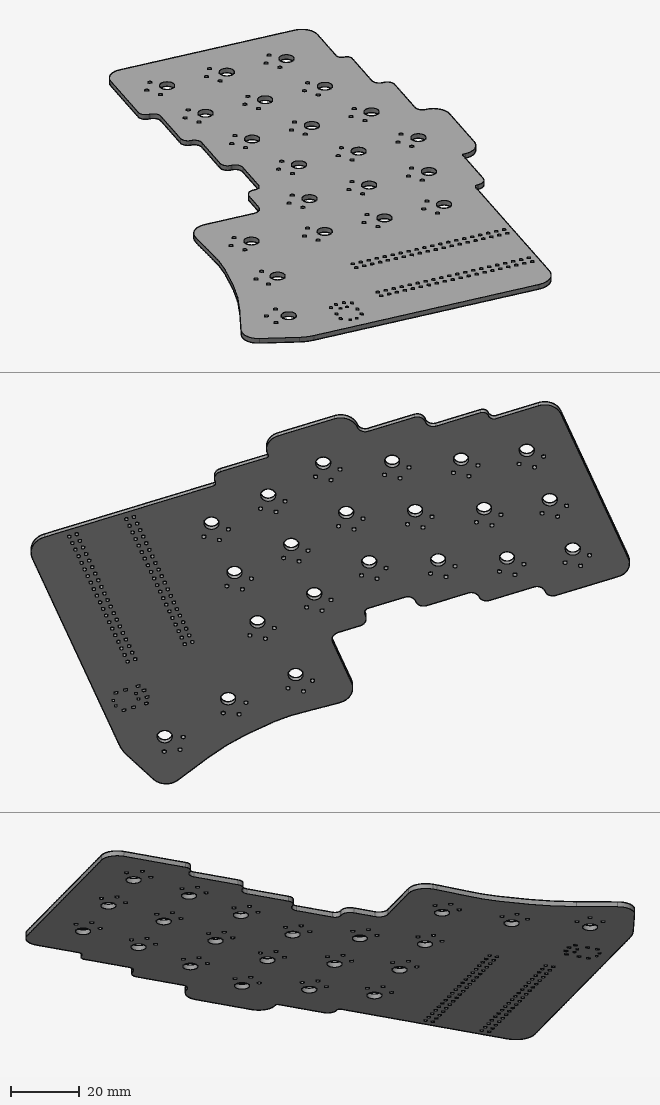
import math

import cadquery as cq

LENGTH = 162.56
WIDTH = 106.61
THICKNESS = 1.6

SWITCH_POST_D = 4.4
SWITCH_PIN_D = 1.2
HEADER_PIN_D = 1.02
JACK_HOLE_D = 0.8
JACK_SLOT_LENGTH = 1.2

KEY_PITCH = 19.05
KEY_ROWS = 3
FIRST_COLUMN_X = 13.95
COLUMN_BOTTOM_Y = (38.07, 41.8, 48.17, 54.6, 49.44, 45.77)
THUMB_KEYS = ((105.5, 24.02, 0), (126.97, 22.78, -9), (149.1, 16.43, -23))
SWITCH_PINS = ((-3.81, -3.81), (3.81, -3.81), (0, -6.5))

HEADER_PITCH = 2.54
HEADER_PINS = 20
HEADER_ROW_SPACING = 17.78
HEADER_FIRST_X = (129.55, 131.89)
HEADER_BOTTOM_Y = 45.65

JACK_AXIS_Y = 32.91
JACK_SLOTS = ((148.85, 1.29), (149.9, 3.35), (153.83, 3.35), (156.85, 3.35))
JACK_PEGS = ((151.46, 1.04), (158.52, 1.04))

LEFT_TOP = 90.1
LEFT_BOTTOM = 24.1
THUMB_LEFT = 91.3
THUMB_BOTTOM = 10.0
CORNER_R = 5.0
THUMB_R = 5.5
TOP_RIGHT_R = 6.0
CREST_R = 5.2
STEP_R = 2.4
SMALL_STEP_R = 1.75
WIDE_STEP_R = 2.8
NECK_R = 0.5
RIGHT_STEP_R = 1.0
SHOULDER_R = 12.0
TIP_R = 5.0

UPPER_STEPS_Y = (LEFT_TOP, 93.7, 98.9)
UPPER_RISERS_X = (20.0, 38.0, 57.2)
CREST_RIGHT = 85.15
RIGHT_STEP_X = 102.95
RIGHT_STEP_TOP = 100.4
RIGHT_TOP = 96.3
LOWER_STEPS_Y = (LEFT_BOTTOM, 29.2, 33.9, 39.0)
LOWER_RISERS_X = (26.9, 45.6, 63.45)
NOTCH_RIGHT = 78.95
SHOULDER_Y = 16.2
TIP = (155.8, -1.57)

UPPER_CORNERS = (
    (0, LEFT_BOTTOM, CORNER_R),
    (0, LEFT_TOP, CORNER_R),
    (UPPER_RISERS_X[0], UPPER_STEPS_Y[0], SMALL_STEP_R),
    (UPPER_RISERS_X[0], UPPER_STEPS_Y[1], SMALL_STEP_R),
    (UPPER_RISERS_X[1], UPPER_STEPS_Y[1], STEP_R),
    (UPPER_RISERS_X[1], UPPER_STEPS_Y[2], STEP_R),
    (UPPER_RISERS_X[2], UPPER_STEPS_Y[2], STEP_R),
    (UPPER_RISERS_X[2], WIDTH, CREST_R),
    (CREST_RIGHT, WIDTH, CREST_R),
    (CREST_RIGHT, RIGHT_STEP_TOP, NECK_R),
    (RIGHT_STEP_X, RIGHT_STEP_TOP, WIDE_STEP_R),
    (RIGHT_STEP_X, RIGHT_TOP, RIGHT_STEP_R),
    (LENGTH, RIGHT_TOP, TOP_RIGHT_R),
    (LENGTH, SHOULDER_Y, SHOULDER_R),
    (*TIP, TIP_R),
)
LOWER_CORNERS = (
    (THUMB_LEFT, THUMB_BOTTOM, THUMB_R),
    (THUMB_LEFT, LOWER_STEPS_Y[2], WIDE_STEP_R),
    (NOTCH_RIGHT, LOWER_STEPS_Y[2], WIDE_STEP_R),
    (NOTCH_RIGHT, LOWER_STEPS_Y[3], SMALL_STEP_R),
    (LOWER_RISERS_X[2], LOWER_STEPS_Y[3], STEP_R),
    (LOWER_RISERS_X[2], LOWER_STEPS_Y[2], STEP_R),
    (LOWER_RISERS_X[1], LOWER_STEPS_Y[2], STEP_R),
    (LOWER_RISERS_X[1], LOWER_STEPS_Y[1], STEP_R),
    (LOWER_RISERS_X[0], LOWER_STEPS_Y[1], STEP_R),
    (LOWER_RISERS_X[0], LOWER_STEPS_Y[0], STEP_R),
)
THUMB_CURVE = ((140.0, 4.85), (125.0, 9.1), (110.0, 10.65), (98.0, THUMB_BOTTOM))
THUMB_CURVE_TANGENTS = ((-1, 0.42), (-1, 0))

REACH = 0.01


def plate():
    """The flat plate with every outline corner rounded."""
    outline = cq.Workplane("XY").moveTo(*UPPER_CORNERS[0][:2])
    for x, y, _ in UPPER_CORNERS[1:]:
        outline = outline.lineTo(x, y)
    outline = outline.lineTo(*THUMB_CURVE[0])
    outline = outline.spline(THUMB_CURVE[1:], tangents=THUMB_CURVE_TANGENTS, includeCurrent=True)
    for x, y, _ in LOWER_CORNERS:
        outline = outline.lineTo(x, y)
    body = outline.close().extrude(THICKNESS)
    for x, y, radius in UPPER_CORNERS + LOWER_CORNERS:
        corner = cq.selectors.BoxSelector((x - REACH, y - REACH, 0), (x + REACH, y + REACH, THICKNESS))
        body = body.edges("|Z").edges(corner).fillet(radius)
    return body


def key_places():
    """Post position and turn of every key switch."""
    places = list(THUMB_KEYS)
    for column, bottom_y in enumerate(COLUMN_BOTTOM_Y):
        for row in range(KEY_ROWS):
            places.append((FIRST_COLUMN_X + column * KEY_PITCH, bottom_y + row * KEY_PITCH, 0))
    return places


def switch_pin_points(x, y, turn):
    """Pin positions of one switch turned about its post."""
    cos_turn = math.cos(math.radians(turn))
    sin_turn = math.sin(math.radians(turn))
    return [
        (x + dx * cos_turn - dy * sin_turn, y + dx * sin_turn + dy * cos_turn) for dx, dy in SWITCH_PINS
    ]


def header_points():
    """Pin positions of both controller footprints."""
    return [
        (first_x + side * HEADER_ROW_SPACING, HEADER_BOTTOM_Y + pin * HEADER_PITCH)
        for first_x in HEADER_FIRST_X
        for side in range(2)
        for pin in range(HEADER_PINS)
    ]


def mirrored_jack_points(places):
    """Each place on both sides of the jack's axis."""
    return [(x, JACK_AXIS_Y + side * offset) for x, offset in places for side in (1, -1)]


def through_holes(points, diameter):
    """Cylinders that cut holes through the plate."""
    return cq.Workplane("XY").pushPoints(points).circle(diameter / 2).extrude(THICKNESS)


def through_slots(points, length, width):
    """Round-ended bars along X that cut slots through the plate."""
    return cq.Workplane("XY").pushPoints(points).slot2D(length, width).extrude(THICKNESS)


keys = key_places()
posts = [(x, y) for x, y, _ in keys]
switch_pins = [point for key in keys for point in switch_pin_points(*key)]

result = (
    plate()
    .cut(through_holes(posts, SWITCH_POST_D))
    .cut(through_holes(switch_pins, SWITCH_PIN_D))
    .cut(through_holes(header_points(), HEADER_PIN_D))
    .cut(through_holes(mirrored_jack_points(JACK_PEGS), JACK_HOLE_D))
    .cut(through_slots(mirrored_jack_points(JACK_SLOTS), JACK_SLOT_LENGTH, JACK_HOLE_D))
)